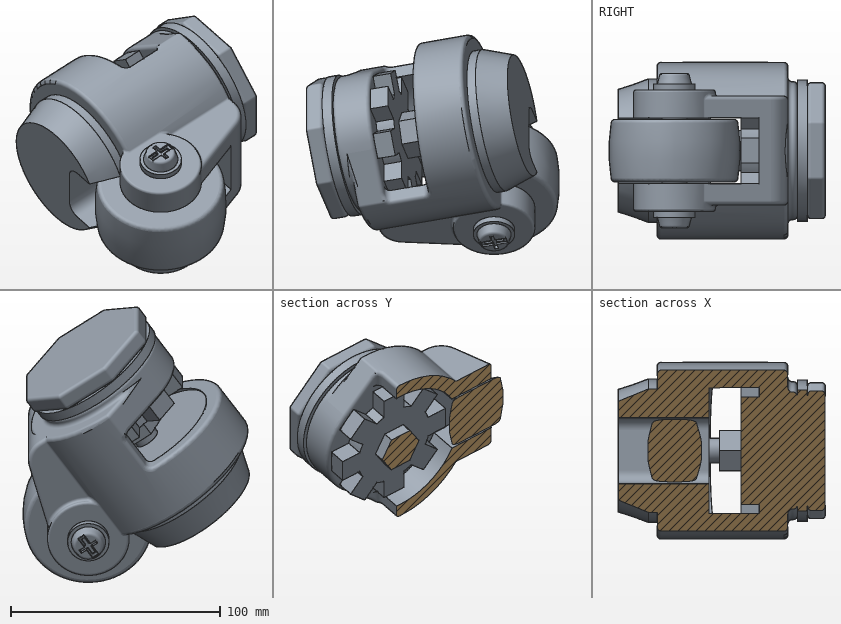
import cadquery as cq
import math


WHEEL_X = 45.6
WHEEL_RADIUS = 31.3
WHEEL_SIDE_RADIUS = 30.0
WHEEL_HALF_WIDTH = 15.0
WHEEL_EDGE_FILLET = 2.0
AXLE_RADIUS = 6.0
AXLE_WASHER_RADIUS = 9.9
AXLE_WASHER_TOP = 31.9
AXLE_HEAD_RADIUS = 8.2
AXLE_HEAD_TOP_RADIUS = 6.8
AXLE_HEAD_TOP = 36.9
AXLE_HEAD_FILLET = 1.4
CROSS_LENGTH = 9.4
CROSS_WIDTH = 1.8
CROSS_DEPTH = 2.0
SLOT_LENGTH = 12.4
SLOT_WIDTH = 3.4
SLOT_DEPTH = 1.0

HOUSING_RADIUS = 42.25
HOUSING_BOTTOM = -8.3
HOUSING_TOP = 54.2
CAVITY_RADIUS = 34.6
NECK_RADIUS = 33.0
BODY_FILLET = 2.0
FLAT_ANGLE = 43.0

WINDOW_TOP = 40.4
WINDOW_BOTTOM_OUTER = 16.6
WINDOW_BOTTOM_INNER = 19.0
WINDOW_END_X = -2.6
WINDOW_CORNER = 3.0

FORK_GAP_HALF = 15.7
FORK_GAP_START_X = 10.0
FORK_GAP_CORNER = 6.0
BOSS_RADIUS = 19.5
BOSS_FACE = 29.0
BOSS_FILLET = 1.2
WEB_FACE = 26.0
WEB_SHOULDER_X = 45.2
WEB_FOOT_X = 62.8
WEB_FOOT_Y = 3.0
WEB_SHOULDER_RADIUS = 12.0
WEB_FILLET = 2.0
FORK_ROOT_FILLET = 1.5
SELECTION_MARGIN = 0.2

OCTAGON_SIDES = 8
OCTAGON_FLATS = 65.0
OCTAGON_TOP = 72.03
OCTAGON_BOTTOM = 63.5
OCTAGON_FILLET = 1.8
WASHER_RADIUS = 33.8
WASHER_BOTTOM = 58.7

TOOTH_COUNT = 8
TOOTH_WIDTH = 12.0
TOOTH_TIP = 31.0
TOOTH_ROOT_RADIUS = 21.5
THUMBWHEEL_BOTTOM = 31.7
NUT_SIDES = 6
NUT_FLATS = 19.4
NUT_BOTTOM = 21.4
STEM_RADIUS = 6.0

FOOT_RADIUS = 34.3
FOOT_END_RADIUS = 29.3
FOOT_CONE_START = -12.5
FOOT_BOTTOM = -26.9


def section_at(y):
    """Workplane across the stem axis; extruding goes toward -Y."""
    return cq.Workplane("XZ", origin=(0, y, 0))


def disc(radius, bottom, top):
    return section_at(top).circle(radius).extrude(top - bottom)


def prism(flats_radius, sides, first_angle, bottom, top):
    """Regular prism about the stem axis, sized by the distance from its axis to its flats."""
    corner_radius = flats_radius / math.cos(math.pi / sides)
    corners = []
    for index in range(sides):
        angle = math.radians(first_angle) + 2 * math.pi * index / sides
        corners.append((corner_radius * math.cos(angle), corner_radius * math.sin(angle)))
    return section_at(top).polyline(corners).close().extrude(top - bottom)


def make_window():
    """Opening on the -X side, passing right through in Z, with a sloped lower edge."""
    outer_x = -2 * HOUSING_RADIUS
    slope = (WINDOW_BOTTOM_INNER - WINDOW_BOTTOM_OUTER) / (WINDOW_END_X + HOUSING_RADIUS)
    outer_y = WINDOW_BOTTOM_OUTER + slope * (outer_x + HOUSING_RADIUS)
    outline = [
        (outer_x, outer_y),
        (WINDOW_END_X, WINDOW_BOTTOM_INNER),
        (WINDOW_END_X, WINDOW_TOP),
        (outer_x, WINDOW_TOP),
    ]
    window = cq.Workplane("XY").polyline(outline).close().extrude(HOUSING_RADIUS, both=True)
    return window.edges("|Z and >X").fillet(WINDOW_CORNER)


def make_flats_cutter():
    """Region outside the neck on the -X side, bounded by two oblique planes tangent to it."""
    angle = math.radians(FLAT_ANGLE)
    tangent_x = -NECK_RADIUS * math.sin(angle)
    tangent_z = NECK_RADIUS * math.cos(angle)
    reach = 2 * HOUSING_RADIUS
    far_x = tangent_x + reach * math.cos(angle)
    far_z = tangent_z + reach * math.sin(angle)
    outline = [
        (tangent_x, -tangent_z),
        (far_x, -far_z),
        (-reach, -far_z),
        (-reach, far_z),
        (far_x, far_z),
        (tangent_x, tangent_z),
    ]
    height = HOUSING_TOP - WINDOW_TOP + WINDOW_CORNER
    return section_at(HOUSING_TOP).polyline(outline).close().extrude(height)


def make_body():
    """Solid round housing with its neck and side window, rounded on all outer edges."""
    body = disc(HOUSING_RADIUS, HOUSING_BOTTOM, HOUSING_TOP)
    body = body.cut(make_flats_cutter())
    body = body.union(disc(NECK_RADIUS, HOUSING_BOTTOM, WASHER_BOTTOM))
    body = body.cut(make_window())
    return body.edges().fillet(BODY_FILLET)


def make_web():
    """Side webs of the fork as one block; the wheel gap splits it later."""
    shoulder = [
        (0, HOUSING_TOP),
        (WEB_SHOULDER_X, HOUSING_TOP),
        (WEB_FOOT_X, WEB_FOOT_Y),
        (WHEEL_X, 0),
        (0, 0),
    ]
    web = cq.Workplane("XY").polyline(shoulder).close().extrude(WEB_FACE, both=True)
    corner = cq.selectors.NearestToPointSelector((WEB_SHOULDER_X, HOUSING_TOP, 0))
    web = web.edges("|Z").edges(corner).fillet(WEB_SHOULDER_RADIUS)
    outer_edge = cq.selectors.BoxSelector(
        (0, WEB_FOOT_Y, -2 * WEB_FACE),
        (2 * WEB_FOOT_X, 2 * HOUSING_TOP, 2 * WEB_FACE),
    )
    return web.faces("<Z or >Z").edges(outer_edge).fillet(WEB_FILLET)


def make_bosses():
    bosses = cq.Workplane("XY").center(WHEEL_X, 0).circle(BOSS_RADIUS).extrude(BOSS_FACE, both=True)
    return bosses.edges().fillet(BOSS_FILLET)


def make_wheel_gap():
    """Gap between the fork arms, open toward +X and -Y."""
    end_x = WHEEL_X + 2 * WHEEL_RADIUS
    height = WINDOW_TOP - FOOT_BOTTOM
    gap = (
        section_at(WINDOW_TOP)
        .center((FORK_GAP_START_X + end_x) / 2, 0)
        .rect(end_x - FORK_GAP_START_X, 2 * FORK_GAP_HALF)
        .extrude(height)
    )
    return gap.edges("|Y and <X").fillet(FORK_GAP_CORNER)


def make_foot():
    """Foot pad, a short cylinder tapering to its flat underside."""
    outline = [
        (0, HOUSING_BOTTOM),
        (FOOT_RADIUS, HOUSING_BOTTOM),
        (FOOT_RADIUS, FOOT_CONE_START),
        (FOOT_END_RADIUS, FOOT_BOTTOM),
        (0, FOOT_BOTTOM),
    ]
    return cq.Workplane("XY").polyline(outline).close().revolve(360, (0, 0, 0), (0, 1, 0))


def make_top():
    """Octagonal plate and the washer that seats it on the neck."""
    plate = prism(OCTAGON_FLATS / 2, OCTAGON_SIDES, 180 / OCTAGON_SIDES, OCTAGON_BOTTOM, OCTAGON_TOP)
    plate = plate.edges().fillet(OCTAGON_FILLET)
    washer = disc(WASHER_RADIUS, WASHER_BOTTOM, OCTAGON_BOTTOM)
    return plate.union(washer)


def make_stem():
    """Toothed thumbwheel, hexagon nut and stem below the housing top."""
    stem = disc(TOOTH_ROOT_RADIUS, THUMBWHEEL_BOTTOM, WINDOW_TOP)
    for index in range(TOOTH_COUNT):
        tooth = (
            section_at(WINDOW_TOP)
            .center(TOOTH_TIP / 2, 0)
            .rect(TOOTH_TIP, TOOTH_WIDTH)
            .extrude(WINDOW_TOP - THUMBWHEEL_BOTTOM)
            .rotate((0, 0, 0), (0, 1, 0), index * 360 / TOOTH_COUNT)
        )
        stem = stem.union(tooth)
    nut = prism(NUT_FLATS / 2, NUT_SIDES, 0, NUT_BOTTOM, THUMBWHEEL_BOTTOM)
    return stem.union(nut).union(disc(STEM_RADIUS, HOUSING_BOTTOM, NUT_BOTTOM))


def make_wheel():
    """Wheel with a crowned tread."""
    return (
        cq.Workplane("XZ")
        .moveTo(0, -WHEEL_HALF_WIDTH)
        .lineTo(WHEEL_SIDE_RADIUS, -WHEEL_HALF_WIDTH)
        .threePointArc((WHEEL_RADIUS, 0), (WHEEL_SIDE_RADIUS, WHEEL_HALF_WIDTH))
        .lineTo(0, WHEEL_HALF_WIDTH)
        .close()
        .revolve(360, (0, 0, 0), (0, 1, 0))
        .edges("%CIRCLE")
        .fillet(WHEEL_EDGE_FILLET)
        .translate((WHEEL_X, 0, 0))
    )


def make_axle_end():
    """Washer and domed screw head with a cross recess, on the +Z side."""
    washer = (
        cq.Workplane("XY", origin=(0, 0, BOSS_FACE))
        .circle(AXLE_WASHER_RADIUS)
        .extrude(AXLE_WASHER_TOP - BOSS_FACE)
    )
    head = (
        cq.Workplane("XY", origin=(0, 0, AXLE_WASHER_TOP))
        .circle(AXLE_HEAD_RADIUS)
        .workplane(offset=AXLE_HEAD_TOP - AXLE_WASHER_TOP)
        .circle(AXLE_HEAD_TOP_RADIUS)
        .loft()
        .faces(">Z")
        .edges()
        .fillet(AXLE_HEAD_FILLET)
    )
    head_top = cq.Workplane("XY", origin=(0, 0, AXLE_HEAD_TOP))
    slot = head_top.rect(SLOT_WIDTH, SLOT_LENGTH).extrude(-SLOT_DEPTH)
    cross = head_top.rect(CROSS_WIDTH, CROSS_LENGTH).extrude(-CROSS_DEPTH)
    cross = cross.union(head_top.rect(CROSS_LENGTH, CROSS_WIDTH).extrude(-CROSS_DEPTH))
    return washer.union(head.cut(slot).cut(cross))


def make_axle():
    rod = cq.Workplane("XY").circle(AXLE_RADIUS).extrude(BOSS_FACE, both=True)
    end = make_axle_end()
    axle = rod.union(end).union(end.mirror("XY"))
    return axle.translate((WHEEL_X, 0, 0))


def round_fork_roots(frame):
    """Fillet the inner corners where webs and bosses rise from the housing and each other."""
    start_x = HOUSING_RADIUS - BODY_FILLET - BOSS_RADIUS / 2
    start_y = BOSS_RADIUS / 2
    end_y = 2 * BOSS_RADIUS
    low_z = WEB_FACE - SELECTION_MARGIN
    high_z = BOSS_FACE + SELECTION_MARGIN
    upper = cq.selectors.BoxSelector((start_x, start_y, low_z), (WHEEL_X, end_y, high_z))
    lower = cq.selectors.BoxSelector((start_x, start_y, -high_z), (WHEEL_X, end_y, -low_z))
    return frame.edges(upper + lower).fillet(FORK_ROOT_FILLET)


def make_frame():
    """Housing, fork and foot, hollowed for the thumbwheel and the wheel."""
    frame = round_fork_roots(make_body().union(make_web()).union(make_bosses()))
    frame = frame.union(make_foot())
    frame = frame.cut(disc(CAVITY_RADIUS, WINDOW_BOTTOM_OUTER, WINDOW_TOP))
    return frame.cut(make_wheel_gap())


result = make_frame().union(make_top()).union(make_stem()).union(make_axle()).union(make_wheel())